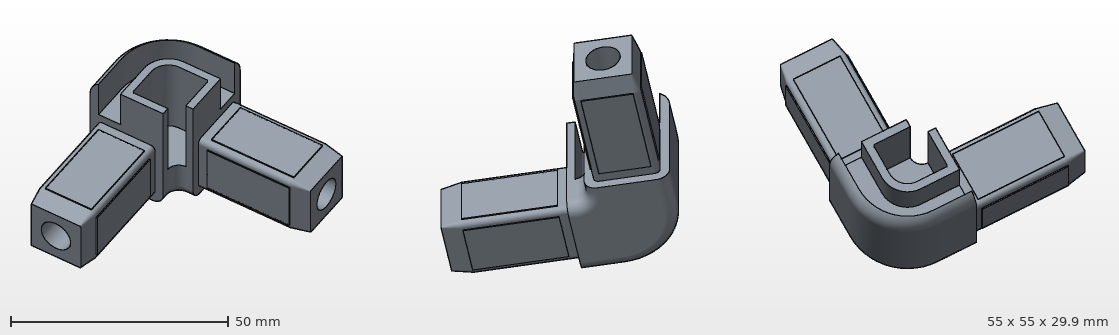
import cadquery as cq


body_length = 25.0
leg_width = 20.0
outer_radius = 15.0
crook_radius = 3.0
bottom_radius = 3.0
shoulder_radius = 5.0
shoulder_start = 25.65
body_height = 29.92

rim_wall = 2.35
channel_width = 6.0
channel_floor = 20.0
post_wall = 2.0
pocket_floor = 10.0
pocket_corner_radius = 0.5

arm_length = 30.0
arm_side = 15.6
arm_corner_radius = 1.3
taper_length = 5.0
taper_inset = 1.0
pad_start = 2.5
pad_width = 12.2
pad_height = 0.3
hole_diameter = 8.0
hole_depth = arm_length

corner_x = -leg_width / 2
corner_y = leg_width / 2
bottom_z = -leg_width / 2
arm_face = corner_x + body_length
crook = corner_x + leg_width


def corner_block(inset, end_inset, floor):
    """Square block set in from the outer sides and the arm faces, rising from the floor height.

    Its outer corner is rounded concentrically with that of the body.
    """
    side = body_length - inset - end_inset
    return (
        cq.Workplane("XY", origin=(corner_x + inset, corner_y - inset, bottom_z + floor))
        .rect(side, -side, centered=False)
        .extrude(shoulder_start + shoulder_radius - floor)
        .edges("|Z and <X and >Y")
        .fillet(outer_radius - inset)
    )


def crook_cutter():
    """Square notch with a rounded inner corner that turns the square block into an L."""
    notch = body_length - leg_width
    return (
        cq.Workplane("XY", origin=(crook, -crook, bottom_z))
        .rect(notch, -notch, centered=False)
        .extrude(shoulder_start + shoulder_radius)
        .edges("|Z and <X and >Y")
        .fillet(crook_radius)
    )


def make_body():
    """L-shaped block; each fillet runs on along the tangent edges around its corner."""
    body = corner_block(0, 0, 0).cut(crook_cutter())
    body = body.faces("<X").edges(">Z").fillet(shoulder_radius)
    body = body.faces("<X").edges("<Z").fillet(bottom_radius)
    crook_straight_middle = -(arm_face + crook + crook_radius) / 2
    crook_bottom_edge = cq.NearestToPointSelector((crook, crook_straight_middle, bottom_z))
    body = body.edges(crook_bottom_edge).fillet(bottom_radius)
    top_trim_side = 2 * (body_length + leg_width)
    above_top = (
        cq.Workplane("XY", origin=(0, 0, bottom_z + body_height))
        .rect(top_trim_side, top_trim_side)
        .extrude(shoulder_radius)
    )
    return body.cut(above_top)


def make_channel():
    """Material removed between the outer wall and the post, open at both arm faces."""
    post_inset = rim_wall + channel_width
    return corner_block(rim_wall, 0, channel_floor).cut(corner_block(post_inset, 0, channel_floor))


def make_pocket():
    """Hollow of the post; it breaks out through the crook of the L."""
    pocket_inset = rim_wall + channel_width + post_wall
    return (
        corner_block(pocket_inset, post_wall, pocket_floor)
        .edges("|Z and ((<X and <Y) or (>X and >Y))")
        .fillet(pocket_corner_radius)
    )


def rounded_square(side, corner_radius):
    """Sketch of a square with rounded corners, centred on the arm axis."""
    return cq.Sketch().rect(side, side).vertices().fillet(corner_radius)


def make_arm(top_pad_edge):
    """Arm along +X with a tapered tip, a raised pad on each side and a blind hole in its end.

    The top pad runs from its usual edge at -Y to the given edge at +Y.
    """
    straight_length = arm_length - taper_length
    base = cq.Workplane("YZ", origin=(arm_face, 0, 0))
    arm_section = rounded_square(arm_side, arm_corner_radius)
    tip_section = rounded_square(arm_side - 2 * taper_inset, arm_corner_radius - taper_inset)

    arm = base.placeSketch(arm_section).extrude(straight_length)
    tip = (
        base.workplane(offset=straight_length)
        .placeSketch(arm_section, tip_section.moved(cq.Location(cq.Vector(0, 0, taper_length))))
        .loft()
    )

    pad_base = base.workplane(offset=pad_start)
    pad_length = straight_length - pad_start
    pad_level = arm_side / 2 + pad_height
    side_pads = pad_base.rect(2 * pad_level, pad_width).extrude(pad_length)
    bottom_pad = (
        pad_base.moveTo(-pad_width / 2, 0)
        .rect(pad_width, -pad_level, centered=False)
        .extrude(pad_length)
    )
    top_pad = (
        pad_base.moveTo(-pad_width / 2, 0)
        .rect(pad_width / 2 + top_pad_edge, pad_level, centered=False)
        .extrude(pad_length)
    )

    hole = (
        base.workplane(offset=arm_length - hole_depth)
        .circle(hole_diameter / 2)
        .extrude(hole_depth)
    )
    return arm.union(tip).union(side_pads).union(bottom_pad).union(top_pad).cut(hole)


flat_edge = arm_side / 2 - arm_corner_radius
arm_along_x = make_arm(pad_width / 2)
arm_along_y = make_arm(flat_edge).rotate((0, 0, 0), (0, 0, 1), -90)

body = make_body().cut(make_channel()).cut(make_pocket())
result = body.union(arm_along_x).union(arm_along_y)